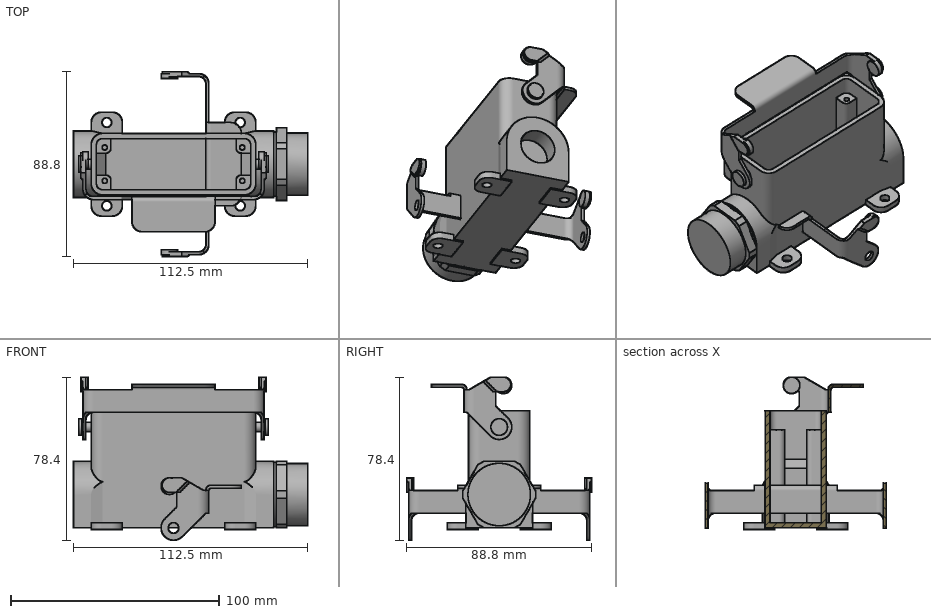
import cadquery as cq
import math


HOUSING_LENGTH = 79.0
HOUSING_WIDTH = 29.5
HOUSING_HEIGHT = 56.2
HOUSING_CORNER = 5.5
WALL = 2.5
CAVITY_CORNER = HOUSING_CORNER - WALL

BOSS_END_X = 48.0
BOSS_RADIUS = 16.0
KNOCKOUT_DIAMETER = 17.4
KNOCKOUT_DEPTH = 10.0

POST_TOP_Z = 47.0
POST_INNER_X = 30.0
POST_INNER_Y = 5.25
POST_CORNER = 2.5
POST_HOLE_X = 33.0
POST_HOLE_Y = 8.0
POST_HOLE_DIAMETER = 2.46
POST_HOLE_DEPTH = 10.0

END_PAD_INNER_X = 32.5
END_PAD_TOP_Z = 33.0

FOOT_LENGTH = 15.0
FOOT_OUTER_Y = 25.0
FOOT_INNER_Y = 10.0
FOOT_BOTTOM_Z = -0.8
FOOT_TOP_Z = 2.5
FOOT_CORNER = 5.0
FOOT_HOLE_DIAMETER = 4.5
FOOT_HOLE_Y = 20.0

PIN_DIAMETER = 4.7
PIN_HEAD_DIAMETER = 8.0
PIN_HEAD_INNER_X = 44.0
PIN_END_X = 45.5
PIN_Z = 48.38

GLAND_NECK_DIAMETER = 31.0
GLAND_NECK_END_X = 49.4
NUT_ACROSS_FLATS = 32.0
NUT_ACROSS_CORNERS = 35.0
NUT_END_X = 54.4
GLAND_SLEEVE_DIAMETER = 30.0
GLAND_END_X = 64.5

SHEET = 1.5
ARM_OUTER_Y = 43.5
ARM_INNER_Y = ARM_OUTER_Y - SHEET
PIVOT_RADIUS = 6.0
PIVOT_HOLE_DIAMETER = 5.0
ARM_NECK_X = 1.6
BAR_OUTER_X = 17.0
BAR_INNER_X = BAR_OUTER_X - SHEET
BAR_BOTTOM_Z = 7.0
BAR_TOP_Z = 18.0
BAR_BEND_RADIUS = 5.0

FINGER_TOP_Z = 24.0
FINGER_BOTTOM_Z = 17.0
FINGER_RADIUS = (FINGER_TOP_Z - FINGER_BOTTOM_Z) / 2
FINGER_CENTRE_X = -2.0
FINGER_RAISE = 0.9
RAMP_WIDTH = 1.3
RAMP_FOOT_X = 3.0
SHOULDER_X = 4.0
SHOULDER_SLOPE = math.tan(math.radians(30))

BUTTON_RADIUS = 4.0
BUTTON_INNER_Y = 41.0

FLAP_WIDTH = 40.0
FLAP_END_X = 32.5
FLAP_CORNER = 5.0
FLAP_BEND_RADIUS = 1.0


def block(x0, x1, y0, y1, z0, z1):
    """Box between two opposite corners."""
    return cq.Workplane("XY").box(x1 - x0, y1 - y0, z1 - z0, centered=False).translate((x0, y0, z0))


def x_cylinder(diameter, x0, x1, z):
    """Cylinder along X from x0 to x1, with its axis at Y = 0 and height z."""
    return cq.Workplane("YZ", origin=(x0, 0, z)).circle(diameter / 2).extrude(x1 - x0)


def mirrored_ends(body):
    """The body together with its mirror image across X = 0."""
    return body.union(body.mirror("YZ"))


def entry_bosses():
    """Both bosses in one bar that tapers to the housing width where the corner rounds begin."""
    taper_end_x = HOUSING_LENGTH / 2 - HOUSING_CORNER
    quarter = [
        (taper_end_x, HOUSING_WIDTH / 2),
        (HOUSING_LENGTH / 2, BOSS_RADIUS),
        (BOSS_END_X, BOSS_RADIUS),
    ]
    right_side = quarter + [(x, -y) for x, y in reversed(quarter)]
    outline = right_side + [(-x, -y) for x, y in right_side]
    plan = cq.Workplane("XY").polyline(outline).close().extrude(2 * BOSS_RADIUS)
    arch = x_cylinder(2 * BOSS_RADIUS, -BOSS_END_X, BOSS_END_X, BOSS_RADIUS).union(
        block(-BOSS_END_X, BOSS_END_X, -BOSS_RADIUS, BOSS_RADIUS, 0, BOSS_RADIUS)
    )
    return plan.intersect(arch)


def cavity():
    """Hollow inside the housing, around the corner posts and the thick end walls."""
    half_x = HOUSING_LENGTH / 2 - WALL
    half_y = HOUSING_WIDTH / 2 - WALL
    hollow = block(-half_x, half_x, -half_y, half_y, WALL, HOUSING_HEIGHT)
    hollow = hollow.edges("|Z").fillet(CAVITY_CORNER)

    for side_x in (-1, 1):
        for side_y in (-1, 1):
            post = block(POST_INNER_X, HOUSING_LENGTH / 2, POST_INNER_Y, HOUSING_WIDTH / 2, 0, POST_TOP_Z)
            post = post.edges("|Z and <X and <Y").fillet(POST_CORNER)
            if side_x < 0:
                post = post.mirror("YZ")
            if side_y < 0:
                post = post.mirror("XZ")
            hollow = hollow.cut(post)

    slope_drop = half_x - END_PAD_INNER_X
    pad = (
        cq.Workplane("XZ")
        .moveTo(END_PAD_INNER_X, 0)
        .lineTo(END_PAD_INNER_X, END_PAD_TOP_Z - slope_drop)
        .lineTo(half_x, END_PAD_TOP_Z)
        .lineTo(half_x, 0)
        .close()
        .extrude(POST_INNER_Y, both=True)
    )
    return hollow.cut(mirrored_ends(pad))


def mounting_feet():
    """Four feet with rounded outer corners and a screw hole each."""
    outer_x = HOUSING_LENGTH / 2
    inner_x = outer_x - FOOT_LENGTH
    foot = block(inner_x, outer_x, FOOT_INNER_Y, FOOT_OUTER_Y, FOOT_BOTTOM_Z, FOOT_TOP_Z)
    foot = foot.edges("|Z and >Y").fillet(FOOT_CORNER)
    foot_hole = (
        cq.Workplane("XY", origin=((inner_x + outer_x) / 2, FOOT_HOLE_Y, FOOT_BOTTOM_Z))
        .circle(FOOT_HOLE_DIAMETER / 2)
        .extrude(FOOT_TOP_Z - FOOT_BOTTOM_Z)
    )
    pair = mirrored_ends(foot.cut(foot_hole))
    return pair.union(pair.mirror("XZ"))


def pivot_pins():
    """Headed pins that carry the fitted lever."""
    shaft = x_cylinder(PIN_DIAMETER, HOUSING_LENGTH / 2 - WALL, PIN_HEAD_INNER_X, PIN_Z)
    head = x_cylinder(PIN_HEAD_DIAMETER, PIN_HEAD_INNER_X, PIN_END_X, PIN_Z)
    return mirrored_ends(shaft.union(head))


def make_housing():
    shell = cq.Workplane("XY").rect(HOUSING_LENGTH, HOUSING_WIDTH).extrude(HOUSING_HEIGHT)
    shell = shell.edges("|Z").fillet(HOUSING_CORNER)
    shell = shell.union(entry_bosses()).cut(cavity())
    shell = shell.union(mounting_feet()).union(pivot_pins())

    knockout = x_cylinder(KNOCKOUT_DIAMETER, -BOSS_END_X, -BOSS_END_X + KNOCKOUT_DEPTH, BOSS_RADIUS)
    post_holes = (
        cq.Workplane("XY", origin=(0, 0, POST_TOP_Z))
        .rect(2 * POST_HOLE_X, 2 * POST_HOLE_Y, forConstruction=True)
        .vertices()
        .circle(POST_HOLE_DIAMETER / 2)
        .extrude(-POST_HOLE_DEPTH)
    )
    return shell.cut(knockout).cut(post_holes)


def hexagon_prism(across_flats, x0, x1, flat_angle):
    """Hexagonal prism along X, with a flat facing flat_angle (degrees from +Y)."""
    corner_radius = across_flats / 2 / math.cos(math.radians(30))
    prism = cq.Workplane("YZ", origin=(x0, 0, BOSS_RADIUS)).polygon(6, 2 * corner_radius).extrude(x1 - x0)
    return prism.rotate((0, 0, BOSS_RADIUS), (1, 0, BOSS_RADIUS), flat_angle - 30)


def make_gland():
    neck = x_cylinder(GLAND_NECK_DIAMETER, BOSS_END_X, GLAND_NECK_END_X, BOSS_RADIUS)
    nut = hexagon_prism(NUT_ACROSS_FLATS, GLAND_NECK_END_X, NUT_END_X, 30)
    nut = nut.intersect(hexagon_prism(NUT_ACROSS_CORNERS, GLAND_NECK_END_X, NUT_END_X, 0))
    sleeve = x_cylinder(GLAND_SLEEVE_DIAMETER, NUT_END_X, GLAND_END_X, BOSS_RADIUS)
    return neck.union(nut).union(sleeve)


def lever_side_outline():
    """Side outline of the arms and the bar, in the XZ plane."""
    tangent = PIVOT_RADIUS * math.sin(math.radians(45))
    edge_offset = PIVOT_RADIUS * math.sqrt(2)
    shoulder_end_x = SHOULDER_X + (FINGER_TOP_Z - BAR_TOP_Z) / SHOULDER_SLOPE
    return (
        cq.Workplane("XZ")
        .moveTo(-tangent, tangent)
        .lineTo(ARM_NECK_X, ARM_NECK_X + edge_offset)
        .lineTo(ARM_NECK_X, FINGER_BOTTOM_Z)
        .lineTo(FINGER_CENTRE_X, FINGER_BOTTOM_Z)
        .threePointArc(
            (FINGER_CENTRE_X - FINGER_RADIUS, FINGER_BOTTOM_Z + FINGER_RADIUS),
            (FINGER_CENTRE_X, FINGER_TOP_Z),
        )
        .lineTo(SHOULDER_X, FINGER_TOP_Z)
        .lineTo(shoulder_end_x, BAR_TOP_Z)
        .lineTo(BAR_OUTER_X, BAR_TOP_Z)
        .lineTo(BAR_OUTER_X, BAR_BOTTOM_Z)
        .lineTo(BAR_BOTTOM_Z + edge_offset, BAR_BOTTOM_Z)
        .lineTo(tangent, -tangent)
        .threePointArc((-tangent, -tangent), (-tangent, tangent))
        .close()
    )


def lever_channel():
    """U-shaped sheet seen from above, trimmed to the side outline."""
    tail_x = FINGER_CENTRE_X - 2 * PIVOT_RADIUS
    outside = block(tail_x, BAR_OUTER_X, -ARM_OUTER_Y, ARM_OUTER_Y, -PIVOT_RADIUS, FINGER_TOP_Z)
    outside = outside.edges("|Z and >X").fillet(BAR_BEND_RADIUS)
    inside = block(tail_x, BAR_INNER_X, -ARM_INNER_Y, ARM_INNER_Y, -PIVOT_RADIUS, FINGER_TOP_Z)
    inside = inside.edges("|Z and >X").fillet(BAR_BEND_RADIUS - SHEET)
    return outside.cut(inside).intersect(lever_side_outline().extrude(ARM_OUTER_Y, both=True))


def lever_finger():
    """Raised finger pad and button of the +Y arm."""
    foot_offset = FINGER_BOTTOM_Z - RAMP_FOOT_X
    foot_top_x = (FINGER_TOP_Z + SHOULDER_SLOPE * SHOULDER_X - foot_offset) / (1 + SHOULDER_SLOPE)
    pad = (
        cq.Workplane("XZ", origin=(0, ARM_OUTER_Y, 0))
        .moveTo(FINGER_CENTRE_X, FINGER_BOTTOM_Z)
        .lineTo(RAMP_FOOT_X, FINGER_BOTTOM_Z)
        .lineTo(foot_top_x, foot_top_x + foot_offset)
        .lineTo(SHOULDER_X, FINGER_TOP_Z)
        .lineTo(FINGER_CENTRE_X, FINGER_TOP_Z)
        .threePointArc(
            (FINGER_CENTRE_X - FINGER_RADIUS, FINGER_BOTTOM_Z + FINGER_RADIUS),
            (FINGER_CENTRE_X, FINGER_BOTTOM_Z),
        )
        .close()
        .extrude(-FINGER_RAISE)
    )
    ramp_plane = cq.Plane(
        origin=(RAMP_FOOT_X, ARM_OUTER_Y, FINGER_BOTTOM_Z),
        xDir=(1, 0, -1),
        normal=(1, 0, 1),
    )
    ramp_cut = (
        cq.Workplane(ramp_plane)
        .polyline([(0, 0), (-RAMP_WIDTH, FINGER_RAISE), (0, FINGER_RAISE)])
        .close()
        .extrude(FINGER_TOP_Z, both=True)
    )
    button = (
        cq.Workplane("XZ", origin=(FINGER_CENTRE_X, ARM_OUTER_Y, FINGER_TOP_Z - BUTTON_RADIUS))
        .circle(BUTTON_RADIUS)
        .extrude(ARM_OUTER_Y - BUTTON_INNER_Y)
    )
    return pad.cut(ramp_cut).union(button)


def lever_flap():
    """Flap that leaves the top of the bar through a quarter bend."""
    bend_x = BAR_OUTER_X + FLAP_BEND_RADIUS
    outer_radius = FLAP_BEND_RADIUS + SHEET
    flap_bottom_z = BAR_TOP_Z + FLAP_BEND_RADIUS
    flap_top_z = flap_bottom_z + SHEET
    diagonal = math.sin(math.radians(45))
    flap = (
        cq.Workplane("XZ")
        .moveTo(BAR_INNER_X, BAR_TOP_Z)
        .threePointArc(
            (bend_x - outer_radius * diagonal, BAR_TOP_Z + outer_radius * diagonal),
            (bend_x, flap_top_z),
        )
        .lineTo(FLAP_END_X, flap_top_z)
        .lineTo(FLAP_END_X, flap_bottom_z)
        .lineTo(bend_x, flap_bottom_z)
        .threePointArc(
            (bend_x - FLAP_BEND_RADIUS * diagonal, BAR_TOP_Z + FLAP_BEND_RADIUS * diagonal),
            (BAR_OUTER_X, BAR_TOP_Z),
        )
        .close()
        .extrude(FLAP_WIDTH / 2, both=True)
    )
    return flap.edges("|Z and >X").fillet(FLAP_CORNER)


def make_lever():
    """Lever in its own frame: bar towards +X, arms towards -X, pivot axis along Y."""
    finger = lever_finger()
    lever = lever_channel().union(finger).union(finger.mirror("XZ")).union(lever_flap())
    pivot_hole = cq.Workplane("XZ").circle(PIVOT_HOLE_DIAMETER / 2).extrude(ARM_OUTER_Y, both=True)
    return lever.cut(pivot_hole)


gland = make_gland()

lever_placements = [
    (-90, PIN_Z),
    (0, 0.0),
]
levers = []
for turn, pivot_z in lever_placements:
    levers.append(make_lever().rotate((0, 0, 0), (0, 0, 1), turn).translate((0, 0, pivot_z)))

fitted_lever, crosswise_lever = levers
housing = make_housing().cut(crosswise_lever)

bodies = [housing, gland, fitted_lever, crosswise_lever]
result = cq.Compound.makeCompound([body.solids().val() for body in bodies])